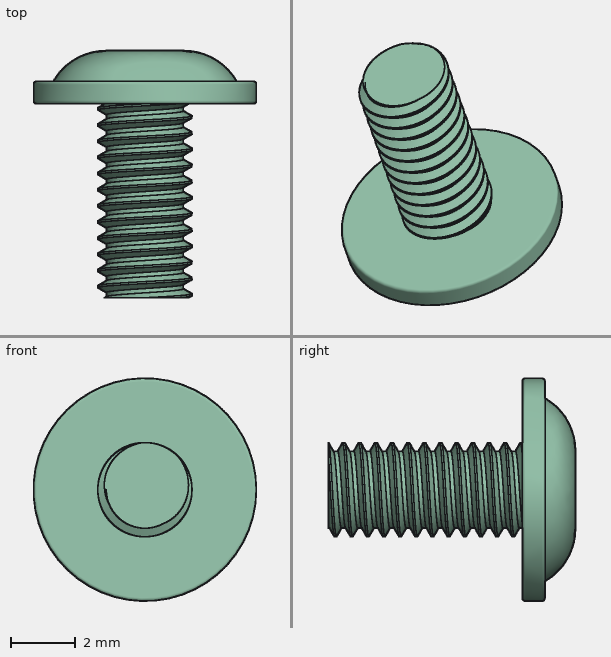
import cadquery as cq
import math

total_length = 7.65
head_height = 1.65
shank_length = total_length - head_height

flange_diameter = 6.9
flange_thickness = 0.7
rim_radius = 0.1
dome_base_diameter = 5.68
dome_top_diameter = 2.37

turns = 12
pitch = shank_length / turns
major_diameter = 2.915
minor_diameter = 2.39
crest_width = pitch / 8
flank_angle = 30.0
crest_turn = 70.0
core_overlap = 0.04


def make_head():
    """Round the rims of the flange and set the dome on it as one solid."""
    flange = cq.Workplane("XZ").circle(flange_diameter / 2).extrude(-flange_thickness)
    flange = flange.edges().fillet(rim_radius)
    dome = (
        cq.Workplane("XY")
        .moveTo(0, flange_thickness)
        .lineTo(dome_base_diameter / 2, flange_thickness)
        .threePointArc(dome_arc_middle(), (dome_top_diameter / 2, head_height))
        .lineTo(0, head_height)
        .close()
        .revolve(360, (0, 0, 0), (0, 1, 0))
    )
    return flange.union(dome)


def dome_arc_middle():
    """Return the middle point of the dome arc, which is tangent to the flat top."""
    top = dome_top_diameter / 2
    run = dome_base_diameter / 2 - top
    drop = head_height - flange_thickness
    radius = (run**2 + drop**2) / (2 * drop)
    half_sweep = math.atan2(drop, run)
    return (
        top + radius * math.sin(half_sweep),
        head_height - radius * (1 - math.cos(half_sweep)),
    )


def make_ridge():
    """Sweep the thread ridge along +Z, running past both ends of the shank."""
    inner = minor_diameter / 2 - core_overlap
    outer = major_diameter / 2
    half_crest = crest_width / 2
    half_base = half_crest + (outer - inner) * math.tan(math.radians(flank_angle))
    section = [(inner, -half_base), (outer, -half_crest), (outer, half_crest), (inner, half_base)]
    helix = cq.Wire.makeHelix(pitch, shank_length + 2 * pitch, minor_diameter / 2)
    ridge = (
        cq.Workplane("XZ")
        .polyline(section)
        .close()
        .sweep(cq.Workplane(obj=helix), isFrenet=True)
    )
    return ridge.translate((0, 0, -pitch)).rotate((0, 0, 0), (0, 0, 1), crest_turn)


def make_shank():
    """Cut both ends of the ridge flat, join it to the core, and lay the shank along -Y."""
    core = cq.Workplane("XY").circle(minor_diameter / 2).extrude(shank_length)
    between_ends = cq.Workplane("XY").circle(major_diameter).extrude(shank_length)
    threaded_rod = core.union(make_ridge().intersect(between_ends))
    return threaded_rod.rotate((0, 0, 0), (1, 0, 0), 90)


head = make_head()
shank = make_shank()

result = cq.Compound.makeCompound([head.solids().val(), shank.solids().val()])